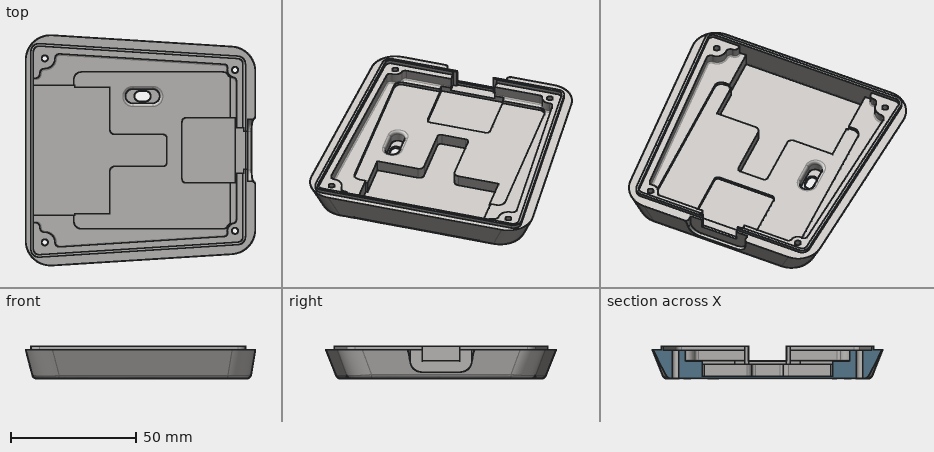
import cadquery as cq
import math


rim_length = 91.6
rim_width = 91.9
side_angle = math.radians(3.6)
corner_radius = 10.0
base_inset_left = 3.0
base_inset_side = 4.4
base_inset_right = 1.9
base_round = 2.1

total_height = 13.0
rim_z = 11.6
ledge_z = 11.4
main_floor_z = 7.1
middle_floor_z = 5.8
plug_floor_z = 4.6
deep_floor_z = 1.0

lip_inset_left = 2.1
lip_inset_side = 3.7
lip_inset_right = 3.95
lip_thickness = 1.0
lip_corner_radius = 3.2

ledge_width = 2.6
floor_round = 0.5
opening_half_width = 28.8
opening_reach = 2.8
hole_diameter = 2.4
left_hole = (-38.1, 36.7)
left_boss_radius = 4.0
left_blend = 1.8
right_hole = (37.7, 32.1)
right_boss_radius = 3.0
right_blend = 1.5

middle_left_x = -26.55
middle_right_x = 35.8
middle_half_width = 31.2
middle_corner_radius = 2.9

deep_entry_half_width = 25.9
deep_entry_right_x = -26.2
deep_half_width = 25.2
deep_right_x = -12.2
tongue_right_x = 10.5
tongue_half_width = 6.3
tongue_root_radius = 2.0
tongue_tip_radius = 1.5

slot_x = 0.8
slot_y = 21.6
slot_mouth_length = 16.0
slot_mouth_width = 8.0
slot_round = 1.2
slot_hole_length = 6.4
slot_hole_width = 4.0

plug_left_x = 16.5
plug_half_width = 12.95
plug_corner_radius = 1.6
notch_half_width = 9.1
notch_right_x = 41.2
gap_half_width = 7.5
relief_left_x = 42.8
relief_half_width = 12.3
relief_floor_z = 2.7
relief_corner_radius = 4.6
relief_edge_round = 1.4

half_length = rim_length / 2
corner_center_x = corner_radius - half_length
corner_center_y = rim_width / 2 - corner_radius
mid_half_width = (
    corner_center_y + corner_radius / math.cos(side_angle) + corner_center_x * math.tan(side_angle)
)

selection_margin = 0.1

lip_right_x = half_length - lip_inset_right
pocket_inset = lip_thickness + ledge_width
pocket_left_x = -half_length + lip_inset_left + pocket_inset
wall_foot_x = lip_right_x - pocket_inset - floor_round


def trapezoid(inset_left, inset_side, inset_right):
    """Sharp-cornered sketch of the rim outline with each wall moved inwards."""
    left_x = -half_length + inset_left
    right_x = half_length - inset_right
    middle_y = mid_half_width - inset_side / math.cos(side_angle)
    left_y = middle_y - left_x * math.tan(side_angle)
    right_y = middle_y - right_x * math.tan(side_angle)
    corners = [(left_x, -left_y), (right_x, -right_y), (right_x, right_y), (left_x, left_y)]
    return cq.Sketch().polygon(corners + corners[:1])


def box(x_min, x_max, half_y, z_min, z_max):
    """Block centred on the X axis."""
    return cq.Workplane("XY", origin=((x_min + x_max) / 2, 0, z_min)).rect(
        x_max - x_min, 2 * half_y
    ).extrude(z_max - z_min)


def lip_prism(extra_inset, z_min, z_max):
    """Rounded prism that follows the outer face of the lip, moved inwards."""
    outline = trapezoid(
        lip_inset_left + extra_inset,
        lip_inset_side + extra_inset,
        lip_inset_right + extra_inset,
    ).vertices().fillet(lip_corner_radius - extra_inset)
    return cq.Workplane("XY", origin=(0, 0, z_min)).placeSketch(outline).extrude(z_max - z_min)


def mirrored(point):
    """A point and its mirror image across the X axis."""
    x, y = point
    return [(x, y), (x, -y)]


def outer_body():
    """Drafted body with a rounded base edge and a solid block where the lip stands."""
    base = trapezoid(base_inset_left, base_inset_side, base_inset_right)
    base = base.vertices().fillet(corner_radius)
    rim = trapezoid(0, 0, 0).vertices().fillet(corner_radius)
    body = cq.Workplane("XY").placeSketch(base, rim.moved(cq.Location(cq.Vector(0, 0, rim_z)))).loft()
    body = body.faces("<Z").edges().fillet(base_round)
    return body.union(lip_prism(0, ledge_z, total_height))


def main_pocket():
    """Pocket around the four bosses, flush with the lip at the left opening."""
    depth = total_height - main_floor_z
    outline = trapezoid(
        lip_inset_left + pocket_inset,
        lip_inset_side + pocket_inset,
        lip_inset_right + pocket_inset,
    )
    plane = cq.Workplane("XY", origin=(0, 0, main_floor_z))
    pocket = plane.placeSketch(outline).extrude(depth)
    for hole, radius in ((left_hole, left_boss_radius), (right_hole, right_boss_radius)):
        pocket = pocket.cut(plane.pushPoints(mirrored(hole)).circle(radius).extrude(depth))
    opening = box(
        pocket_left_x - ledge_width - opening_reach, 0, opening_half_width, main_floor_z, total_height
    )
    pocket = pocket.union(opening).clean()
    reach = 2 * half_length
    left_side = cq.selectors.BoxSelector((-reach, -reach, 0), (0, reach, reach))
    right_side = cq.selectors.BoxSelector((0, -reach, 0), (reach, reach, reach))
    pocket = pocket.edges("|Z").edges(left_side).fillet(left_blend)
    pocket = pocket.edges("|Z").edges(right_side).fillet(right_blend)
    pocket = pocket.faces("<Z").edges().fillet(floor_round)
    return pocket.intersect(lip_prism(lip_thickness, 0, ledge_z))


def middle_recess():
    """Shallow rounded step in the floor of the main pocket."""
    recess = box(middle_left_x, middle_right_x, middle_half_width, middle_floor_z, main_floor_z)
    return recess.edges("|Z").fillet(middle_corner_radius)


def deep_recess():
    """Deep recess from the left wall, with a wider entry and a narrow tongue towards +X."""
    entry_x = -half_length + lip_inset_left + lip_thickness
    entry = box(entry_x, deep_entry_right_x, deep_entry_half_width, deep_floor_z, main_floor_z)
    hall = box(entry_x, deep_right_x, deep_half_width, deep_floor_z, main_floor_z)
    tongue = box(deep_right_x, tongue_right_x, tongue_half_width, deep_floor_z, main_floor_z)
    tongue = tongue.edges("|Z and >X").fillet(tongue_tip_radius)
    reach = tongue_half_width + tongue_root_radius
    roots = cq.selectors.BoxSelector(
        (deep_right_x - selection_margin, -reach, 0),
        (deep_right_x + selection_margin, reach, total_height),
    )
    return hall.union(tongue).edges("|Z").edges(roots).fillet(tongue_root_radius).union(entry)


def keyhole_slot():
    """Slot with a rounded mouth and a smaller slot through the floor."""
    plane = cq.Workplane("XY", origin=(slot_x, slot_y, 0))
    hole = plane.slot2D(slot_hole_length, slot_hole_width).extrude(middle_floor_z)
    well = plane.workplane(offset=deep_floor_z).slot2D(
        slot_mouth_length - 2 * slot_round, slot_mouth_width - 2 * slot_round
    ).extrude(middle_floor_z - deep_floor_z)
    return well.union(hole)


def plug_recess():
    """Shallow recess that runs up to the foot of the +X pocket wall."""
    recess = box(plug_left_x, wall_foot_x, plug_half_width, plug_floor_z, main_floor_z)
    return recess.edges("|Z and <X").fillet(plug_corner_radius)


def cable_notch():
    """Wide notch through the ledge, narrow gap through the lip, raised sill outside it."""
    notch = box(wall_foot_x, notch_right_x, notch_half_width, middle_floor_z, total_height)
    gap = box(wall_foot_x, lip_right_x, gap_half_width, middle_floor_z, total_height)
    sill = box(lip_right_x, half_length, gap_half_width, main_floor_z, total_height)
    return notch.union(gap).union(sill)


def outer_relief():
    """Relief in the +X wall with rounded bottom corners and rounded-over rim corners."""
    relief = box(relief_left_x, half_length, relief_half_width, relief_floor_z, total_height)
    relief = relief.edges("|X and <Z").fillet(relief_corner_radius)
    flare_left_x = half_length - relief_edge_round
    flare_half_width = relief_half_width + relief_edge_round
    flare_z = relief_floor_z + relief_corner_radius
    flare = box(flare_left_x, half_length, flare_half_width, flare_z, rim_z)
    kept_corners = cq.Workplane("XY", origin=(0, 0, flare_z)).pushPoints(
        mirrored((flare_left_x, flare_half_width))
    ).circle(relief_edge_round).extrude(rim_z - flare_z)
    return relief.union(flare.cut(kept_corners))


result = outer_body()
result = result.cut(lip_prism(lip_thickness, ledge_z, total_height))
result = result.cut(main_pocket())
result = result.cut(middle_recess())
result = result.cut(keyhole_slot())
mouth_center = cq.Vector(slot_x, slot_y, middle_floor_z)
mouth_reach = cq.Vector(slot_mouth_length / 2, slot_mouth_width / 2, selection_margin)
mouth = cq.selectors.BoxSelector(
    (mouth_center - mouth_reach).toTuple(), (mouth_center + mouth_reach).toTuple(), boundingbox=True
)
result = result.edges(mouth).fillet(slot_round)
result = result.cut(deep_recess())
result = result.cut(plug_recess())
result = result.cut(outer_relief())
result = result.cut(cable_notch())
screw_holes = cq.Workplane("XY").pushPoints(mirrored(left_hole) + mirrored(right_hole))
result = result.cut(screw_holes.circle(hole_diameter / 2).extrude(total_height))